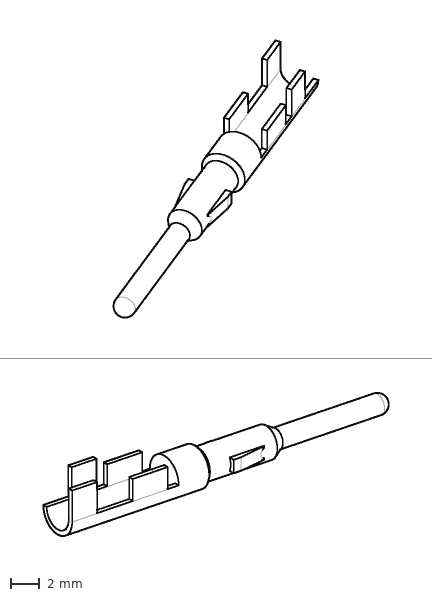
import cadquery as cq
import math


total_length = 28.7
barrel_diameter = 3.3
neck_diameter = 2.6
pin_diameter = 1.6
wall_thickness = 0.4

trough_length = 9.3
barrel_end = 11.95
neck_end = 18.18
nose_half_angle = 30.0

tall_tab_length = 2.18
tall_tab_height = 2.4
short_tab_start = 5.28
short_tab_length = 3.07
short_tab_height = 1.7

latch_start = 14.1
latch_flat_length = 0.62
latch_length = 3.0
latch_height = 1.05
latch_slope_angle = 10.0

barrel_radius = barrel_diameter / 2
neck_radius = neck_diameter / 2
pin_radius = pin_diameter / 2
trough_inner_radius = barrel_radius - wall_thickness
shoulder_end = barrel_end + (barrel_radius - neck_radius)
nose_end = neck_end + (neck_radius - pin_radius) / math.tan(math.radians(nose_half_angle))
pin_end = total_length - pin_radius
LEFT = -1
RIGHT = 1


def make_turned_body():
    """Solid of revolution: barrel, 45 degree shoulder, neck, conical nose and round-tipped pin."""
    tip_arc_offset = pin_radius * math.sqrt(0.5)
    return (
        cq.Workplane("XY")
        .moveTo(0, 0)
        .lineTo(barrel_radius, 0)
        .lineTo(barrel_radius, -barrel_end)
        .lineTo(neck_radius, -shoulder_end)
        .lineTo(neck_radius, -neck_end)
        .lineTo(pin_radius, -nose_end)
        .lineTo(pin_radius, -pin_end)
        .threePointArc((tip_arc_offset, -pin_end - tip_arc_offset), (0, -total_length))
        .close()
        .revolve(360, (0, 0), (0, 1))
    )


def cut_trough(body):
    """Remove the upper half of the wire end and hollow the lower half into a U-shaped trough."""
    upper_half = cq.Workplane("XY").box(
        barrel_diameter, trough_length, barrel_radius, centered=(True, False, False)
    )
    hollow = cq.Workplane("XZ").circle(trough_inner_radius).extrude(trough_length)
    return body.cut(upper_half.translate((0, -trough_length, 0))).cut(hollow)


def make_tab(side, start, length, height):
    """Upright flat tab standing on the trough edge; side is LEFT or RIGHT."""
    tab = cq.Workplane("XY").box(wall_thickness, length, height, centered=(True, False, False))
    return tab.translate((side * (barrel_radius - wall_thickness / 2), -start - length, 0))


def make_latch(side):
    """Wedge with a short flat crest as wide as the barrel, sloping down towards the pin."""
    slope_length = latch_length - latch_flat_length
    slope_drop = slope_length * math.tan(math.radians(latch_slope_angle))
    latch_end = latch_start + latch_length
    return (
        cq.Workplane("XY")
        .moveTo(0, -latch_start)
        .lineTo(side * barrel_radius, -latch_start)
        .lineTo(side * barrel_radius, -latch_start - latch_flat_length)
        .lineTo(side * (barrel_radius - slope_drop), -latch_end)
        .lineTo(0, -latch_end)
        .close()
        .extrude(latch_height / 2, both=True)
    )


result = cut_trough(make_turned_body())

result = result.union(make_tab(LEFT, 0, tall_tab_length, tall_tab_height))
result = result.union(make_tab(RIGHT, tall_tab_length, tall_tab_length, tall_tab_height))

for side in (LEFT, RIGHT):
    result = result.union(make_tab(side, short_tab_start, short_tab_length, short_tab_height))
    result = result.union(make_latch(side))